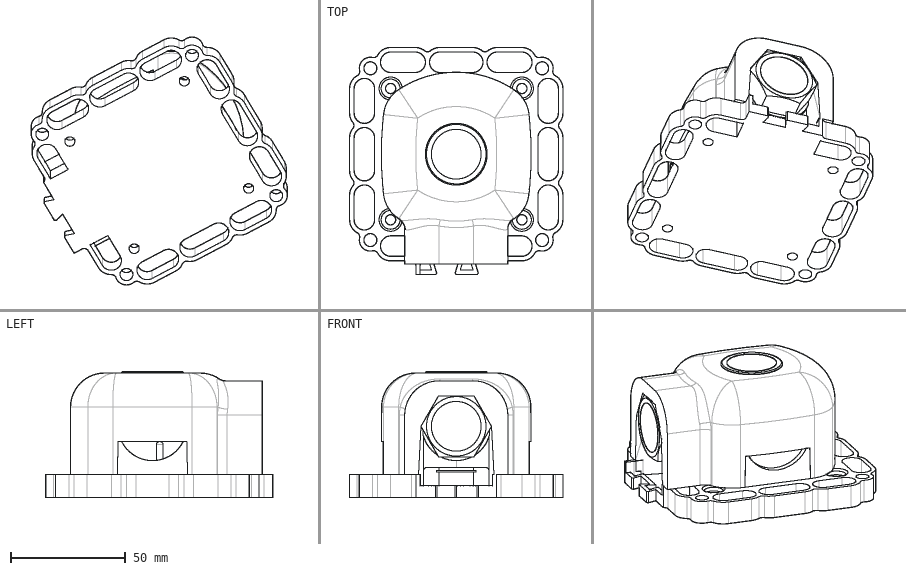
import cadquery as cq
import math

plate_half = 46.5
plate_height = 10.1
slot_width = 8.8
frame_wall = 2.1
slot_line = plate_half - frame_wall - slot_width / 2
middle_slot_length = 23.1
end_slot_length = 19.5
slot_gap = 1.9
end_slot_offset = (middle_slot_length + end_slot_length) / 2 + slot_gap
blend_radius = 2.0

corner_hole_diameter = 5.5
corner_hole_offset = 37.4
screw_offset = 28.6
screw_diameter = 4.4
counterbore_diameter = 8.2
counterbore_depth = 2.6
counterbore_lip = 0.9

side_reach = 32.6
end_reach = 35.7
side_arc_radius = 157.3
end_arc_radius = 45.3
housing_top = 54.3
housing_corner_radius = 15.0
round_radius = 14.9

neck_front = -47.9
neck_half_width = 22.45
neck_top = 50.8
neck_blend = 4.9
joint_margin = 0.7

port_height = 31.1
chamber_half_width = 15.8
chamber_floor = 5.2
chamber_back = -35.6
chamber_back_bulge = 1.0
chamber_skirt_half_width = 16.4
tray_floor = 3.3
passage_top = 13.2
passage_half_width = 14.2
passage_end = 11.9
passage_corner_radius = 1.5

post_diameter = 14.8
post_collar_diameter = 17.0
post_collar_bottom = 11.1
post_collar_top = 11.9

nut_across_flats = 26.6
nut_corner = nut_across_flats / math.sqrt(3)
nut_face_diameter = 25.9
nut_chamfer_slope = 1.7
plug_collar_diameter = 29.9
plug_collar_length = 1.6
button_base_diameter = 26.9
button_top = 55.0
button_chamfer_height = 0.5
plug_recess_diameter = 21.7
plug_recess_depth = 0.2

recess_face = 31.7
recess_top = 24.4
recess_top_width = 29.9
recess_bottom_width = 30.6
side_hole_diameter = plug_collar_diameter
side_hole_depth = 3.0
pin_diameter = 2.9
pin_offset = -3.2
pin_bottom = 13.8
pin_rounding = 0.95

overall_length = 98.9
front_edge = plate_half - overall_length
front_block_half_width = 17.6
front_block_back = -34.6
tab_width = 10.2
tab_flare = 0.3
tab_pocket_width = 5.5
tab_chamfer = 0.6
tab_centers = (-13.5, 4.5)
overlap = 1.0


def box(x0, x1, y0, y1, z0, z1):
    """Block between two limits along each axis."""
    block = cq.Workplane("XY").box(x1 - x0, y1 - y0, z1 - z0, centered=False)
    return block.translate((x0, y0, z0))


def slots(margin):
    """All twelve rounded slots, enlarged outwards by a margin."""
    row = (
        cq.Workplane("XY")
        .pushPoints([(-end_slot_offset, slot_line), (end_slot_offset, slot_line)])
        .slot2D(end_slot_length + 2 * margin, slot_width + 2 * margin)
        .extrude(plate_height)
    )
    middle = (
        cq.Workplane("XY")
        .center(0, slot_line)
        .slot2D(middle_slot_length + 2 * margin, slot_width + 2 * margin)
        .extrude(plate_height)
    )
    row = row.union(middle)
    ring = row
    for quarter in range(1, 4):
        ring = ring.union(row.rotate((0, 0, 0), (0, 0, 1), 90 * quarter))
    return ring


def square_points(offset):
    return [(x, y) for x in (-offset, offset) for y in (-offset, offset)]


def make_plate():
    bosses = (
        cq.Workplane("XY")
        .pushPoints(square_points(corner_hole_offset))
        .circle(corner_hole_diameter / 2 + frame_wall)
        .extrude(plate_height)
    )
    core_length = 2 * end_slot_offset + end_slot_length
    core = cq.Workplane("XY").rect(2 * slot_line, core_length).extrude(plate_height)
    core = core.union(core.rotate((0, 0, 0), (0, 0, 1), 90))
    front_block = box(-front_block_half_width, front_block_half_width,
                      neck_front, front_block_back, 0, plate_height)
    front_wall = box(-front_block_half_width, -chamber_half_width,
                     front_edge, neck_front, 0, plate_height)
    rough = core.union(slots(frame_wall)).union(bosses).union(front_block).union(front_wall)
    outline = rough.faces("<Z").val().outerWire()
    outline = outline.offset2D(blend_radius)[0].offset2D(-blend_radius)[0]
    plate = cq.Workplane("XY").add(outline).toPending().extrude(plate_height)
    plate = plate.cut(slots(0).cut(front_block))
    corner_holes = (
        cq.Workplane("XY")
        .pushPoints(square_points(corner_hole_offset))
        .circle(corner_hole_diameter / 2)
        .extrude(plate_height)
    )
    plate = plate.cut(corner_holes)
    screw_hole = make_screw_hole()
    for x, y in square_points(screw_offset):
        plate = plate.cut(screw_hole.translate((x, y, 0)))
    return plate


def make_screw_hole():
    """Through hole with a counterbore and a chamfered rim."""
    counterbore_floor = plate_height - counterbore_depth
    profile = [
        (0, 0),
        (screw_diameter / 2, 0),
        (screw_diameter / 2, counterbore_floor),
        (counterbore_diameter / 2, counterbore_floor),
        (counterbore_diameter / 2, plate_height - counterbore_lip),
        (counterbore_diameter / 2 + counterbore_lip, plate_height),
        (0, plate_height),
    ]
    return cq.Workplane("XZ").polyline(profile).close().revolve(360, (0, 0, 0), (0, 1, 0))


def make_dome():
    """Four bulging walls with rounded corners and a rounded top edge."""

    def cylinder(radius, x, y):
        return (
            cq.Workplane("XY", origin=(x, y, plate_height))
            .circle(radius)
            .extrude(housing_top - plate_height)
        )

    side_center = side_arc_radius - side_reach
    end_center = end_arc_radius - end_reach
    dome = (
        cylinder(side_arc_radius, side_center, 0)
        .intersect(cylinder(side_arc_radius, -side_center, 0))
        .intersect(cylinder(end_arc_radius, 0, end_center))
        .intersect(cylinder(end_arc_radius, 0, -end_center))
    )
    dome = dome.edges("not(>Z or <Z)").fillet(housing_corner_radius)
    return dome.faces(">Z").edges().fillet(round_radius)


def make_housing():
    """Dome and neck, blended where they meet."""
    neck = box(-neck_half_width, neck_half_width, neck_front, 0, plate_height, neck_top)
    neck = neck.edges("|Y and >Z").fillet(round_radius)
    end_center = end_arc_radius - end_reach
    join_y = end_center - math.sqrt(end_arc_radius**2 - neck_half_width**2)
    joint = cq.selectors.BoxSelector(
        (-neck_half_width - joint_margin, join_y - joint_margin, plate_height - joint_margin),
        (neck_half_width + joint_margin, join_y + joint_margin, neck_top + joint_margin),
        boundingbox=True,
    )
    return make_dome().union(neck).edges(joint).fillet(neck_blend)


def flared_outline(center, half_width, wide_y):
    """Outline points of a tab: its widest line and its root behind the front wall."""
    root_y = neck_front + frame_wall + overlap
    root_half_width = half_width - tab_flare * (root_y - wide_y)
    return [
        (center - root_half_width, root_y),
        (center - half_width, wide_y),
        (center + half_width, wide_y),
        (center + root_half_width, root_y),
    ]


def make_tab(center):
    """Solid dovetail with chamfered tips."""
    points = flared_outline(center, tab_width / 2, front_edge + tab_chamfer)
    tip = [
        (center - tab_width / 2 + tab_chamfer, front_edge),
        (center + tab_width / 2 - tab_chamfer, front_edge),
    ]
    points = points[:2] + tip + points[2:]
    return cq.Workplane("XY").polyline(points).close().extrude(chamber_floor)


def make_tab_pocket(center):
    """Hollow of a tab, open towards the tray behind it."""
    points = flared_outline(center, tab_pocket_width / 2, front_edge + frame_wall)
    outline = cq.Workplane("XY", origin=(0, 0, tray_floor)).polyline(points).close()
    return outline.extrude(plate_height - tray_floor)


def make_front_tabs():
    limits = box(-front_block_half_width, front_block_half_width, front_edge, 0, 0, chamber_floor)
    left_tab, right_tab = [make_tab(center) for center in tab_centers]
    return left_tab.union(right_tab).intersect(limits)


def make_chamber():
    """Opening below the nut, the tray sunk in its floor and the passage behind it."""
    half = [
        (chamber_half_width, chamber_floor),
        (chamber_half_width, plate_height),
        (chamber_skirt_half_width, plate_height),
        (nut_corner, port_height),
        (nut_corner / 2, port_height + nut_across_flats / 2),
    ]
    outline = half + [(-x, z) for x, z in reversed(half)]
    opening = (
        cq.Workplane("XZ", origin=(0, chamber_back, 0))
        .polyline(outline)
        .close()
        .extrude(chamber_back - neck_front)
    )
    tray = box(-chamber_half_width, chamber_half_width, neck_front + frame_wall, chamber_back,
               tray_floor, plate_height)
    limits = box(-chamber_half_width, chamber_half_width, front_edge, 0, 0, plate_height)
    left_pocket, right_pocket = [make_tab_pocket(center) for center in tab_centers]
    pockets = left_pocket.union(right_pocket).intersect(limits)
    plan = (
        cq.Workplane("XY")
        .polyline([
            (-chamber_skirt_half_width, neck_front),
            (chamber_skirt_half_width, neck_front),
            (passage_half_width, chamber_back),
            (0, chamber_back - chamber_back_bulge),
            (-passage_half_width, chamber_back),
        ])
        .close()
        .extrude(neck_top)
    )
    passage = box(-passage_half_width, passage_half_width, chamber_back - chamber_back_bulge, passage_end,
                  tray_floor, passage_top)
    passage = passage.edges("|Y and >Z").fillet(passage_corner_radius)
    return opening.union(tray).intersect(plan).union(pockets).union(passage)


def make_nut():
    """Hexagonal plug in the neck, chamfered at its flush outer face."""
    plane = cq.Workplane("XZ", origin=(0, chamber_back + overlap, port_height))
    length = chamber_back + overlap - neck_front
    nut = plane.polygon(6, 2 * nut_corner).extrude(length)
    chamfer_run = length * nut_chamfer_slope
    cone = plane.circle(nut_face_diameter / 2 + chamfer_run).extrude(
        length, taper=math.degrees(math.atan(nut_chamfer_slope))
    )
    collar = plane.circle(plug_collar_diameter / 2).extrude(overlap + plug_collar_length)
    recess = (
        cq.Workplane("XZ", origin=(0, neck_front, port_height))
        .circle(plug_recess_diameter / 2)
        .extrude(-plug_recess_depth)
    )
    return nut.intersect(cone).union(collar).cut(recess)


def make_button():
    height = button_top - housing_top
    chamfer_width = (button_base_diameter - nut_face_diameter) / 2
    button = cq.Workplane("XY", origin=(0, 0, housing_top)).circle(button_base_diameter / 2)
    button = button.extrude(height).faces(">Z").chamfer(button_chamfer_height, chamfer_width)
    return button.faces(">Z").workplane().circle(plug_recess_diameter / 2).cutBlind(-plug_recess_depth)


def make_post():
    post = cq.Workplane("XY", origin=(0, 0, tray_floor)).circle(post_diameter / 2)
    post = post.extrude(passage_top - tray_floor)
    collar = cq.Workplane("XY", origin=(0, 0, post_collar_bottom)).circle(post_collar_diameter / 2)
    return post.union(collar.extrude(post_collar_top - post_collar_bottom))


def make_side_opening():
    """Flat recess on the -X wall and the part of the round port left open below its cover."""
    recess = (
        cq.Workplane("YZ", origin=(-recess_face, 0, 0))
        .polyline([
            (-recess_bottom_width / 2, plate_height),
            (recess_bottom_width / 2, plate_height),
            (recess_top_width / 2, recess_top),
            (-recess_top_width / 2, recess_top),
        ])
        .close()
        .extrude(recess_face - plate_half)
    )
    port = (
        cq.Workplane("YZ", origin=(-recess_face, 0, port_height))
        .circle(side_hole_diameter / 2)
        .extrude(side_hole_depth)
    )
    below = box(-plate_half, 0, -plate_half, plate_half, plate_height, recess_top)
    return recess.union(port.intersect(below))


def make_pin():
    """Round-ended upright pin at the back of the -X opening."""
    radius = pin_diameter / 2
    height = recess_top - pin_bottom
    pin = cq.Workplane("XY", origin=(side_hole_depth - recess_face, pin_offset, pin_bottom))
    return pin.circle(radius).extrude(height).faces(">Z").edges().fillet(radius * pin_rounding)


side_opening = make_side_opening()
result = (
    make_plate()
    .union(make_front_tabs())
    .union(make_housing())
    .cut(make_chamber())
    .union(make_nut())
    .union(make_post())
    .union(make_button())
    .cut(side_opening)
    .cut(side_opening.mirror("YZ"))
    .union(make_pin())
)